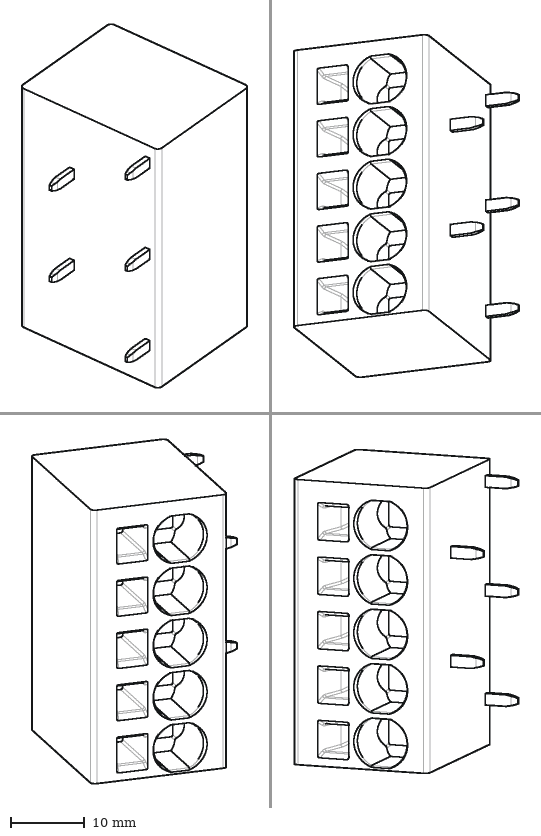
import cadquery as cq


LENGTH_X = 24.15
DEPTH_Y = 19.6
HEIGHT_Z = 39.3
CORNER_RADIUS = 0.7

POLE_COUNT = 5
POLE_PITCH = 7.5
FIRST_OPENING_DROP = 5.55
FIRST_PIN_DROP = 2.78

BORE_Y = 6.87
BORE_RADIUS = 3.6
BORE_HALF_HEIGHT = 3.25
BORE_DEPTH = 10.0
MOUTH_HALF_WIDTH = 3.9
MOUTH_HALF_HEIGHT = 3.4
MOUTH_DEPTH = 0.6
FLOOR_HALF_WIDTH = 2.6
FLOOR_HALF_HEIGHT = 2.05
FUNNEL_SLOPE = 0.56
FUNNEL_EDGE_RADIUS = 0.3

RELEASE_Y_MIN = 11.5
RELEASE_Y_MAX = 16.0
RELEASE_HALF_HEIGHT = 2.58
RELEASE_INNER_HALF_HEIGHT = 1.88
RELEASE_MOUTH_DEPTH = 1.4
RELEASE_DEPTH = 10.0
RELEASE_WALL_SHIFT = 1.25
RELEASE_WALL_LENGTH = 5.5
RELEASE_EDGE_RADIUS = 0.3
RELEASE_THROAT_RADIUS = 1.0

PIN_LENGTH = 4.6
PIN_THICKNESS = 0.8
PIN_WIDTH = 1.6
PIN_TIP_THICKNESS = 0.4
PIN_TIP_WIDTH = 0.8
PIN_SHOULDER_WIDTH = 1.16
PIN_SHOULDER_START = 3.0
PIN_SHOULDER_END = 4.1
PIN_TAPER_START = 3.65
PIN_REAR_X = 22.24
PIN_FRONT_X = 9.07

PIN_PLANE = cq.Plane(origin=(0, 0, 0), xDir=(0, -1, 0), normal=(0, 0, 1))


def make_housing():
    block = cq.Workplane("XY").box(LENGTH_X, DEPTH_Y, HEIGHT_Z, centered=False)
    return block.edges("|Z").fillet(CORNER_RADIUS)


def mirrored_outline(plane, half_outline):
    """Closed outline symmetric about the plane's first axis, from its positive half."""
    other_half = [(along, -across) for along, across in reversed(half_outline)]
    return cq.Workplane(plane).polyline(half_outline + other_half).close()


def make_wire_bore():
    """Bore along +X from the origin: a flared round bore limited in height and in width."""
    mouth = (
        cq.Workplane("YZ")
        .ellipse(MOUTH_HALF_WIDTH, BORE_RADIUS)
        .workplane(offset=MOUTH_DEPTH)
        .circle(BORE_RADIUS)
        .loft()
    )
    barrel = (
        cq.Workplane("YZ", origin=(MOUTH_DEPTH, 0, 0))
        .circle(BORE_RADIUS)
        .extrude(BORE_DEPTH - MOUTH_DEPTH)
    )

    height_funnel_length = (BORE_HALF_HEIGHT - FLOOR_HALF_HEIGHT) / FUNNEL_SLOPE
    height_outline = [
        (0, MOUTH_HALF_HEIGHT),
        (MOUTH_DEPTH, BORE_HALF_HEIGHT),
        (BORE_DEPTH - height_funnel_length, BORE_HALF_HEIGHT),
        (BORE_DEPTH, FLOOR_HALF_HEIGHT),
    ]
    height_limit = mirrored_outline("XZ", height_outline).extrude(MOUTH_HALF_WIDTH, both=True)

    width_funnel_length = (MOUTH_HALF_WIDTH - FLOOR_HALF_WIDTH) / FUNNEL_SLOPE
    width_outline = [
        (0, MOUTH_HALF_WIDTH),
        (BORE_DEPTH - width_funnel_length, MOUTH_HALF_WIDTH),
        (BORE_DEPTH, FLOOR_HALF_WIDTH),
    ]
    width_limit = mirrored_outline("XY", width_outline).extrude(MOUTH_HALF_HEIGHT, both=True)
    envelope = height_limit.intersect(width_limit)
    envelope = envelope.edges("not(#X or |Y or |Z)").fillet(FUNNEL_EDGE_RADIUS)
    return mouth.union(barrel).intersect(envelope)


def make_release_opening():
    """Pocket along +X from X = 0, centred on Z = 0 and already at its place in Y."""
    height_outline = [
        (0, RELEASE_HALF_HEIGHT),
        (RELEASE_MOUTH_DEPTH, RELEASE_INNER_HALF_HEIGHT),
        (RELEASE_DEPTH, RELEASE_INNER_HALF_HEIGHT),
    ]
    height_limit = mirrored_outline("XZ", height_outline).extrude(DEPTH_Y, both=True)
    throat_edges = cq.selectors.BoxSelector(
        (RELEASE_MOUTH_DEPTH / 2, -DEPTH_Y, -RELEASE_HALF_HEIGHT),
        (2 * RELEASE_MOUTH_DEPTH, DEPTH_Y, RELEASE_HALF_HEIGHT),
    )
    height_limit = height_limit.edges("|Y").edges(throat_edges).fillet(RELEASE_THROAT_RADIUS)
    side_outline = [
        (0, RELEASE_Y_MIN),
        (RELEASE_DEPTH, RELEASE_Y_MIN),
        (RELEASE_DEPTH, RELEASE_Y_MAX - RELEASE_WALL_SHIFT),
        (RELEASE_WALL_LENGTH, RELEASE_Y_MAX - RELEASE_WALL_SHIFT),
        (0, RELEASE_Y_MAX),
    ]
    pocket = (
        cq.Workplane("XY")
        .polyline(side_outline)
        .close()
        .extrude(RELEASE_HALF_HEIGHT, both=True)
        .intersect(height_limit)
    )
    return pocket.edges("not(#X or |Y or |Z)").fillet(RELEASE_EDGE_RADIUS)


def make_pin():
    """Flat pin pointing to -Y from the origin, narrowed at its tip in width and in thickness."""
    width_outline = [
        (0, PIN_WIDTH / 2),
        (-PIN_SHOULDER_START, PIN_WIDTH / 2),
        (-PIN_SHOULDER_END, PIN_SHOULDER_WIDTH / 2),
        (-PIN_LENGTH, PIN_TIP_WIDTH / 2),
    ]
    thickness_outline = [
        (0, PIN_THICKNESS / 2),
        (PIN_TAPER_START, PIN_THICKNESS / 2),
        (PIN_LENGTH, PIN_TIP_THICKNESS / 2),
    ]
    blade = mirrored_outline("YZ", width_outline).extrude(PIN_THICKNESS, both=True)
    taper = mirrored_outline(PIN_PLANE, thickness_outline).extrude(PIN_WIDTH, both=True)
    return blade.intersect(taper)


result = make_housing()
wire_bore = make_wire_bore()
release_opening = make_release_opening()
pin = make_pin()

for pole in range(POLE_COUNT):
    opening_z = HEIGHT_Z - FIRST_OPENING_DROP - pole * POLE_PITCH
    result = result.cut(wire_bore.translate((0, BORE_Y, opening_z)))
    result = result.cut(release_opening.translate((0, 0, opening_z)))

    pin_x = PIN_REAR_X if pole % 2 == 0 else PIN_FRONT_X
    pin_z = HEIGHT_Z - FIRST_PIN_DROP - pole * POLE_PITCH
    result = result.union(pin.translate((pin_x, 0, pin_z)))